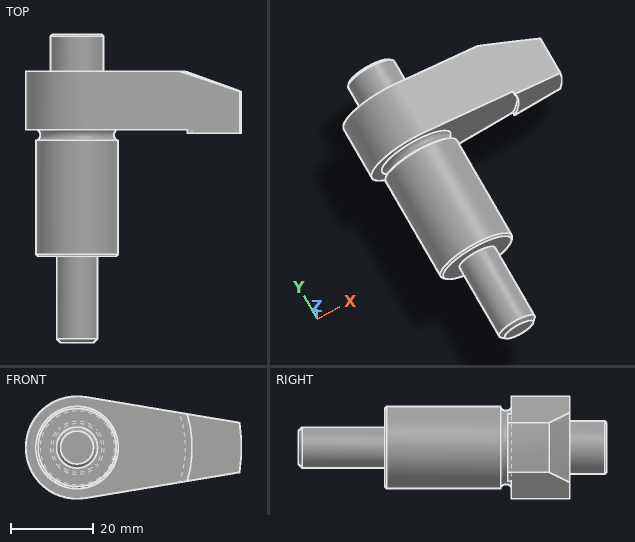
import cadquery as cq
import math

hub_radius = 25.0 / 2
lever_thickness = 14.25

arm_reach = 40.0
arm_taper = 9.5
pad_inner_radius = 28.0
pad_height = 0.8
back_slope_radius = 26.25
back_slope_drop = 4.95

total_length = 75.0
head_diameter = 13.0
head_length = 9.0
sleeve_diameter = 20.0
pin_diameter = 10.0
pin_length = 21.0
small_chamfer = 0.5
pin_chamfer = 1.0

neck_width = 2.5
neck_edge_radius = 9.6
neck_floor_radius = 9.0

back_y = lever_thickness + head_length
pin_end_y = back_y - total_length
sleeve_end_y = pin_end_y + pin_length


def revolve_about_y(profile):
    return profile.close().revolve(360, (0, 0, 0), (0, 1, 0))


def make_arm():
    turned = revolve_about_y(
        cq.Workplane("XY")
        .moveTo(0, 0)
        .lineTo(pad_inner_radius, 0)
        .lineTo(pad_inner_radius, -pad_height)
        .lineTo(arm_reach, -pad_height)
        .lineTo(arm_reach, lever_thickness - back_slope_drop)
        .lineTo(back_slope_radius, lever_thickness)
        .lineTo(0, lever_thickness)
    )

    taper = math.radians(arm_taper)
    tangent_x = hub_radius * math.sin(taper)
    tangent_z = hub_radius * math.cos(taper)
    end_z = tangent_z - (arm_reach - tangent_x) * math.tan(taper)
    outline = (
        cq.Workplane("XZ", origin=(0, -pad_height, 0))
        .moveTo(tangent_x, tangent_z)
        .lineTo(arm_reach, end_z)
        .lineTo(arm_reach, -end_z)
        .lineTo(tangent_x, -tangent_z)
        .close()
        .extrude(-(lever_thickness + pad_height))
    )
    return turned.intersect(outline)


def make_hub_and_shaft():
    head_radius = head_diameter / 2
    sleeve_radius = sleeve_diameter / 2
    pin_radius = pin_diameter / 2
    return revolve_about_y(
        cq.Workplane("XY")
        .moveTo(0, back_y)
        .lineTo(head_radius - small_chamfer, back_y)
        .lineTo(head_radius, back_y - small_chamfer)
        .lineTo(head_radius, lever_thickness)
        .lineTo(hub_radius, lever_thickness)
        .lineTo(hub_radius, 0)
        .lineTo(neck_edge_radius, 0)
        .threePointArc((neck_floor_radius, -neck_width / 2), (neck_edge_radius, -neck_width))
        .lineTo(sleeve_radius, -neck_width)
        .lineTo(sleeve_radius, sleeve_end_y + small_chamfer)
        .lineTo(sleeve_radius - small_chamfer, sleeve_end_y)
        .lineTo(pin_radius, sleeve_end_y)
        .lineTo(pin_radius, pin_end_y + pin_chamfer)
        .lineTo(pin_radius - pin_chamfer, pin_end_y)
        .lineTo(0, pin_end_y)
    )


result = make_hub_and_shaft().union(make_arm())